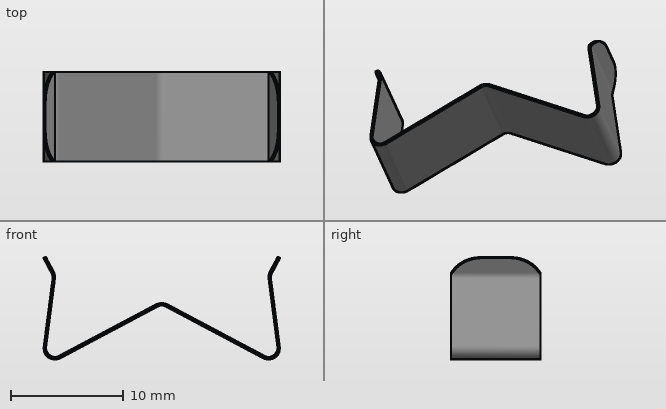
import cadquery as cq
import math

span = 21.0
strip_width = 8.0
thickness = 0.2
inner_radius = 0.8
outer_radius = inner_radius + thickness
mid_radius = inner_radius + thickness / 2

lip_length = 1.5
lip_flat_half_width = 1.3
lip_corner_radius = 3.0

lip_bend_height = 7.3
ridge_height = 5.0
lip_bend = (-span / 2, lip_bend_height)
foot_bend = (-span / 2 + outer_radius, outer_radius)
ridge_bend = (0.0, ridge_height - outer_radius)


def crossing_tangent_angle(start, end):
    """Angle between the line joining two opposite bends and the strip running across it."""
    return math.degrees(math.asin(2 * mid_radius / math.dist(start, end)))


def direction_angle(start, end):
    return math.degrees(math.atan2(end[1] - start[1], end[0] - start[0]))


ramp_slope = direction_angle(foot_bend, ridge_bend) + crossing_tangent_angle(foot_bend, ridge_bend)
wall_lean = 90 - direction_angle(foot_bend, lip_bend) + crossing_tangent_angle(foot_bend, lip_bend)
lip_lean = math.degrees(math.atan(inner_radius / lip_length))


def polar(center, radius, angle):
    a = math.radians(angle)
    return (center[0] + radius * math.cos(a), center[1] + radius * math.sin(a))


def lip_tip(radius):
    """End of the lip face that is tangent to the lip bend at the given radius."""
    return polar(polar(lip_bend, radius, lip_lean), lip_length, 90 + lip_lean)


def bend_arc(center, radius, start, end):
    """Start, middle and end points of a bend."""
    return [polar(center, radius, angle) for angle in (start, (start + end) / 2, end)]


def face_arcs(lip_radius, foot_radius, ridge_radius):
    """Bends along one face of the left half strip, from the lip to the ridge."""
    return [
        bend_arc(lip_bend, lip_radius, lip_lean, -wall_lean),
        bend_arc(foot_bend, foot_radius, 180 - wall_lean, 270 + ramp_slope),
        bend_arc(ridge_bend, ridge_radius, 90 + ramp_slope, 90),
    ]


def make_half_strip():
    upper_face = face_arcs(outer_radius, inner_radius, outer_radius)
    lower_face = face_arcs(inner_radius, outer_radius, inner_radius)
    returning_face = [arc[::-1] for arc in reversed(lower_face)]

    profile = cq.Workplane("XZ").moveTo(*lip_tip(outer_radius))
    for start, middle, end in upper_face + returning_face:
        profile = profile.lineTo(*start).threePointArc(middle, end)
    profile = profile.lineTo(*lip_tip(inner_radius)).close()
    return profile.extrude(strip_width / 2, both=True)


def make_corner_cutter():
    """Waste outside one rounded lip corner, square to the lip face."""
    cutter_depth = 4 * thickness
    tip_x, tip_z = lip_tip(mid_radius)
    lean = math.radians(lip_lean)
    lip_plane = cq.Plane(
        origin=(tip_x, 0, tip_z),
        xDir=(0, 1, 0),
        normal=(math.cos(lean), 0, math.sin(lean)),
    )
    half_width = strip_width / 2
    arc_run = half_width - lip_flat_half_width
    arc_end = math.degrees(math.acos(arc_run / lip_corner_radius))
    arc_center = (lip_flat_half_width, -lip_corner_radius)
    _, arc_middle, arc_finish = bend_arc(arc_center, lip_corner_radius, 90, arc_end)
    return (
        cq.Workplane(lip_plane)
        .moveTo(lip_flat_half_width, 0)
        .threePointArc(arc_middle, arc_finish)
        .lineTo(half_width, 0)
        .close()
        .extrude(cutter_depth, both=True)
    )


corner = make_corner_cutter()
half_clip = make_half_strip().cut(corner).cut(corner.mirror("XZ"))
result = half_clip.union(half_clip.mirror("YZ"))